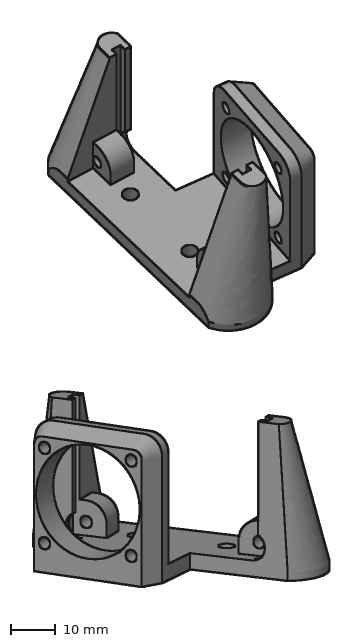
import cadquery as cq
import math

overall_length = 70.3
base_depth = 17.6
floor_height = 3.8
overall_height = 36.0
base_hole_diameter = 3.7
base_hole_x = 11.05

rim_height = 1.9
tower_inner_x = 22.6
rim_radius = 9.85
rim_center_x = overall_length / 2 - rim_radius
rim_center_y = base_depth / 2
tower_top_radius = 3.2
tower_flat_end_x = 26.0
tower_top_center_x = tower_flat_end_x
tower_cap_height = 0.3
tower_top_front_y = 11.7
tower_top_center_y = tower_top_front_y + tower_top_radius

groove_bottom_x = 24.25
groove_front_y = 13.6
groove_back_y = 15.9

lug_front_y = 7.0
lug_center_x = 21.0
lug_center_z = 6.95
lug_radius = 5.0
lug_hole_diameter = 2.8
head_clearance_radius = lug_center_z - floor_height

fan_angle = -5.0
fan_width = 32.3
fan_height = 33.9
fan_center_x = 10.9
fan_front_y = 26.15
fan_center_z = 17.85
fan_straight_depth = 2.95
fan_taper_depth = 5.0
fan_taper_inset = 2.45
fan_corner_radius = 4.6
fan_bore_diameter = 26.3
fan_hole_diameter = 2.8
fan_hole_pitch = 22.0
fan_floor_reach = 17.6


def box(x_min, x_max, y_min, y_max, z_min, z_max):
    """Axis-aligned block between the given limits."""
    size = (x_max - x_min, y_max - y_min, z_max - z_min)
    return cq.Workplane("XY").box(*size, centered=False).translate((x_min, y_min, z_min))


def cylinder_along_y(x, z, radius, y_min, y_max):
    """Horizontal cylinder running from y_min to y_max."""
    plane = cq.Workplane("XZ", origin=(x, y_min, z))
    return plane.circle(radius).extrude(y_min - y_max)


def tower_section(z, center_x, center_y, radius):
    """Tower section at height z: flat front and back, joined by an arc at the outer side."""
    half_depth = math.sqrt(radius**2 - (tower_flat_end_x - center_x) ** 2)
    return (
        cq.Workplane("XY", origin=(0, 0, z))
        .moveTo(tower_inner_x, center_y - half_depth)
        .lineTo(tower_flat_end_x, center_y - half_depth)
        .threePointArc((center_x + radius, center_y), (tower_flat_end_x, center_y + half_depth))
        .lineTo(tower_inner_x, center_y + half_depth)
        .close()
    )


def make_tower():
    """Right tower on its rim, trimmed flush with the front and back of the base."""
    rim_circle = (rim_center_x, rim_center_y, rim_radius)
    top_circle = (tower_top_center_x, tower_top_center_y, tower_top_radius)
    cap_z = overall_height - tower_cap_height
    rim = tower_section(0, *rim_circle).extrude(rim_height)
    cap = tower_section(cap_z, *top_circle).extrude(tower_cap_height)
    lower_section = tower_section(rim_height, *rim_circle)
    upper_section = tower_section(cap_z, *top_circle)
    taper = cq.Workplane(cq.Solid.makeLoft([lower_section.val(), upper_section.val()], True))
    tower = rim.union(taper).union(cap)
    envelope = box(0, overall_length / 2, 0, base_depth, 0, overall_height)
    groove = box(0, groove_bottom_x, groove_front_y, groove_back_y, floor_height, overall_height)
    return tower.intersect(envelope).cut(groove)


def make_lug():
    """Screw lug with one rounded upper corner, facing the middle of the part."""
    inner_x = lug_center_x - lug_radius
    top_z = lug_center_z + lug_radius
    diagonal = lug_radius / math.sqrt(2)
    return (
        cq.Workplane("XZ", origin=(0, lug_front_y, 0))
        .moveTo(inner_x, 0)
        .lineTo(inner_x, lug_center_z)
        .threePointArc((lug_center_x - diagonal, lug_center_z + diagonal), (lug_center_x, top_z))
        .lineTo(tower_inner_x, top_z)
        .lineTo(tower_inner_x, 0)
        .close()
        .extrude(lug_front_y - groove_front_y)
    )


def make_end():
    """Right tower and lug with the screw hole and the screw head clearance."""
    foot = box(lug_center_x, tower_inner_x, groove_back_y, base_depth, 0, lug_center_z)
    head = cylinder_along_y(lug_center_x, lug_center_z, head_clearance_radius, groove_back_y, base_depth)
    hole = cylinder_along_y(lug_center_x, lug_center_z, lug_hole_diameter / 2, lug_front_y, groove_front_y)
    return make_tower().union(make_lug()).union(foot).cut(head).cut(hole)


def fan_section(sketch, inset):
    """Fan mount outline with rounded upper corners, inset at the sides and top."""
    half = fan_width / 2 - inset
    top = fan_height - inset
    radius = fan_corner_radius - inset
    diagonal = radius * (1 - math.sqrt(0.5))
    return (
        sketch.moveTo(-half, 0)
        .lineTo(-half, top - radius)
        .threePointArc((-half + diagonal, top - diagonal), (-half + radius, top))
        .lineTo(half - radius, top)
        .threePointArc((half - diagonal, top - diagonal), (half, top - radius))
        .lineTo(half, 0)
        .close()
    )


def make_fan_mount():
    """Bored upright plate with a tapered back, and its floor reaching into the base."""
    fan_depth = fan_straight_depth + fan_taper_depth
    plate = fan_section(cq.Workplane("XZ"), 0).extrude(-fan_straight_depth)
    taper_start = fan_section(cq.Workplane("XZ", origin=(0, fan_straight_depth, 0)), 0)
    taper_end = fan_section(taper_start.workplane(offset=-fan_taper_depth), fan_taper_inset)
    plate = plate.union(taper_end.loft(ruled=True, combine=False))
    plate = plate.cut(cylinder_along_y(0, fan_center_z, fan_bore_diameter / 2, 0, fan_depth))
    for side in (-1, 1):
        for level in (-1, 1):
            x = side * fan_hole_pitch / 2
            z = fan_center_z + level * fan_hole_pitch / 2
            plate = plate.cut(cylinder_along_y(x, z, fan_hole_diameter / 2, 0, fan_depth))
    floor = box(-fan_width / 2, fan_width / 2, -fan_floor_reach, 0, 0, floor_height)
    mount = plate.union(floor)
    return mount.rotate((0, 0, 0), (0, 0, 1), fan_angle).translate((fan_center_x, fan_front_y, 0))


base = box(-tower_inner_x, tower_inner_x, 0, base_depth, 0, floor_height)
right_end = make_end()
left_end = right_end.mirror("YZ")
base_holes = (
    cq.Workplane("XY")
    .pushPoints([(-base_hole_x, base_depth / 2), (base_hole_x, base_depth / 2)])
    .circle(base_hole_diameter / 2)
    .extrude(floor_height)
)

result = base.union(make_fan_mount()).union(right_end).union(left_end).cut(base_holes)